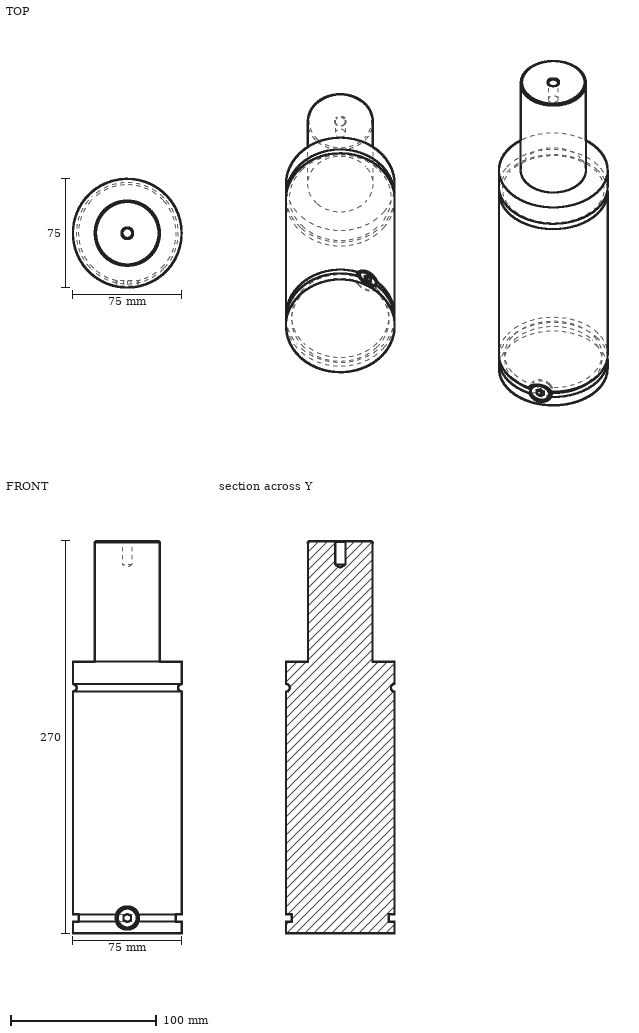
import cadquery as cq
import math

body_diameter = 75.0
body_height = 187.0
body_radius = body_diameter / 2

round_groove_radius = 2.5
round_groove_center_z = 169.0

square_groove_diameter = 67.0
square_groove_bottom_z = 8.0
square_groove_height = 5.0

rod_diameter = 45.0
overall_height = 270.0
rod_chamfer = 1.0
rod_radius = rod_diameter / 2

rod_hole_diameter = 6.8
rod_hole_mouth_diameter = 8.0
rod_hole_depth = 16.0
drill_point_angle = 118.0

port_center_z = square_groove_bottom_z + square_groove_height / 2
port_seat_diameter = 16.0
port_seat_distance = 32.5
port_plug_diameter = 14.0
port_plug_distance = 37.0
port_plug_chamfer = 0.5
hex_socket_width = 5.0
hex_socket_depth = 4.0


def make_body_and_rod():
    """Revolve the stepped, grooved outline about the Z axis."""
    groove_floor = square_groove_diameter / 2
    square_groove_top_z = square_groove_bottom_z + square_groove_height
    outline = (
        cq.Workplane("XZ")
        .moveTo(0, 0)
        .lineTo(body_radius, 0)
        .lineTo(body_radius, square_groove_bottom_z)
        .lineTo(groove_floor, square_groove_bottom_z)
        .lineTo(groove_floor, square_groove_top_z)
        .lineTo(body_radius, square_groove_top_z)
        .lineTo(body_radius, round_groove_center_z - round_groove_radius)
        .threePointArc(
            (body_radius - round_groove_radius, round_groove_center_z),
            (body_radius, round_groove_center_z + round_groove_radius),
        )
        .lineTo(body_radius, body_height)
        .lineTo(rod_radius, body_height)
        .lineTo(rod_radius, overall_height - rod_chamfer)
        .lineTo(rod_radius - rod_chamfer, overall_height)
        .lineTo(0, overall_height)
        .close()
    )
    return outline.revolve(360, (0, 0, 0), (0, 1, 0))


def make_rod_hole():
    """Drilled blind hole with a conical point and a chamfered mouth."""
    hole_radius = rod_hole_diameter / 2
    mouth_radius = rod_hole_mouth_diameter / 2
    mouth_depth = mouth_radius - hole_radius
    point_depth = hole_radius / math.tan(math.radians(drill_point_angle / 2))
    shoulder_z = overall_height - rod_hole_depth
    outline = (
        cq.Workplane("XZ")
        .moveTo(0, overall_height)
        .lineTo(mouth_radius, overall_height)
        .lineTo(hole_radius, overall_height - mouth_depth)
        .lineTo(hole_radius, shoulder_z)
        .lineTo(0, shoulder_z - point_depth)
        .close()
    )
    return outline.revolve(360, (0, 0, 0), (0, 1, 0))


def port_cylinder(diameter, outer_distance, inner_distance):
    """Cylinder along the port axis between two distances from the body axis."""
    plane = cq.Workplane("XZ", origin=(0, -inner_distance, port_center_z))
    return plane.circle(diameter / 2).extrude(outer_distance - inner_distance)


def make_hex_socket():
    """Hexagonal pocket with two corners pointing along Z."""
    corner_diameter = hex_socket_width / math.cos(math.pi / 6)
    floor_distance = port_plug_distance - hex_socket_depth
    return (
        cq.Workplane("XZ", origin=(0, -floor_distance, port_center_z))
        .transformed(rotate=(0, 0, 90))
        .polygon(6, corner_diameter)
        .extrude(hex_socket_depth)
    )


def add_port(part):
    """Bore a flat-bottomed seat and stand a chamfered socket plug in it."""
    seat = port_cylinder(port_seat_diameter, body_radius, port_seat_distance)
    plug = port_cylinder(port_plug_diameter, port_plug_distance, port_seat_distance)
    plug = plug.faces("<Y").chamfer(port_plug_chamfer)
    return part.cut(seat).union(plug).cut(make_hex_socket())


result = add_port(make_body_and_rod().cut(make_rod_hole()))